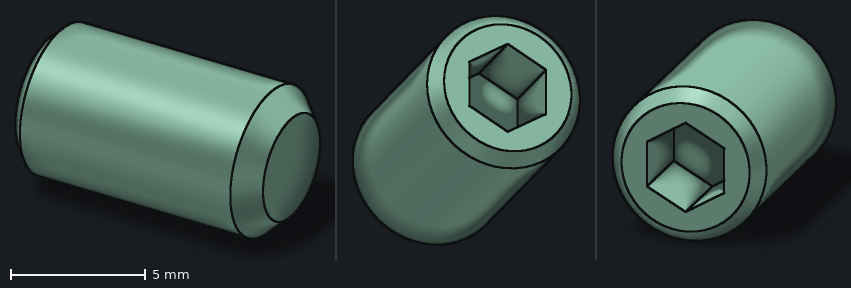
import cadquery as cq

length = 10.5
diameter = 6.0
socket_end_chamfer = 0.5
point_chamfer = 0.89
socket_across_flats = 3.0
socket_depth = 3.5

radius = diameter / 2


def screw_body():
    """Cylinder with a 45 degree chamfer of its own size on each end."""
    body = cq.Workplane("YZ").circle(radius).extrude(length)
    body = body.faces("<X").chamfer(socket_end_chamfer)
    return body.faces(">X").chamfer(point_chamfer)


def hex_socket():
    """Blind hexagonal socket with two flats facing +Y and -Y."""
    return (
        cq.Workplane("YZ")
        .polygon(6, socket_across_flats, circumscribed=True)
        .extrude(socket_depth)
    )


result = screw_body().cut(hex_socket())